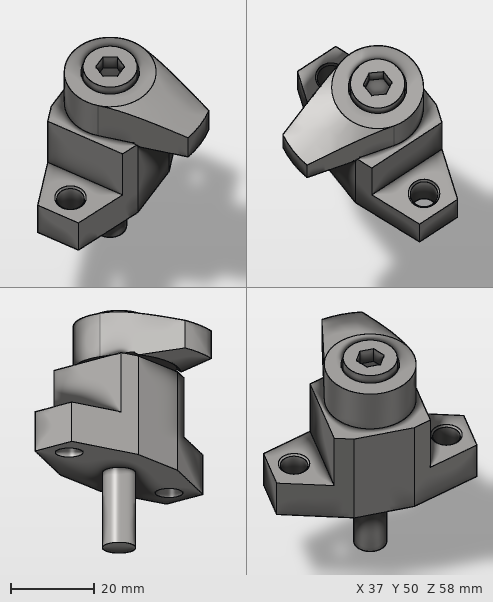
import cadquery as cq
import math


housing_length = 50.0
housing_width = 24.0
housing_height = 25.0
block_length = 24.0
flange_height = 10.0
side_flat_length = 15.0
taper_angle = 20
mount_hole_diameter = 6.6
mount_hole_mouth_diameter = 7.55
mount_hole_spacing = 38.05

collar_diameter = 18.0
collar_height = 1.0
hub_diameter = 22.05
hub_height = 11.0
arm_reach = 24.95
tip_half_width = 5.0
arm_top_drop = 5.0
relief_radius = 14.0
counterbore_diameter = 14.0
counterbore_depth = 6.0

screw_length = 58.0
shank_diameter = 8.0
head_diameter = 13.0
head_projection = 2.0
hex_across_flats = 6.0
hex_depth = 4.0

hub_bottom = housing_height + collar_height
hub_top = hub_bottom + hub_height
head_seat = hub_top - counterbore_depth
screw_top = hub_top + head_projection
hub_radius = hub_diameter / 2


def cylinder(diameter, bottom, top):
    return cq.Workplane("XY").workplane(offset=bottom).circle(diameter / 2).extrude(top - bottom)


def make_mount_hole(y):
    """Through hole with a 45 degree chamfer at its mouth."""
    hole_radius = mount_hole_diameter / 2
    mouth_radius = mount_hole_mouth_diameter / 2
    chamfer = mouth_radius - hole_radius
    profile = [
        (0, 0),
        (hole_radius, 0),
        (hole_radius, flange_height - chamfer),
        (mouth_radius, flange_height),
        (0, flange_height),
    ]
    hole = cq.Workplane("XZ").polyline(profile).close().revolve(360, (0, 0), (0, 1))
    return hole.translate((0, y, 0))


def make_housing():
    half_width = housing_width / 2
    half_length = housing_length / 2
    half_flat = side_flat_length / 2
    half_end = half_width - (half_length - half_flat) * math.tan(math.radians(taper_angle))
    outline = [
        (half_width, -half_flat),
        (half_width, half_flat),
        (half_end, half_length),
        (-half_end, half_length),
        (-half_width, half_flat),
        (-half_width, -half_flat),
        (-half_end, -half_length),
        (half_end, -half_length),
    ]
    footprint = cq.Workplane("XY").polyline(outline).close()
    housing = footprint.extrude(housing_height)

    end_length = half_length - block_length / 2
    for side in (-1, 1):
        step = cq.Workplane("XY").box(
            housing_width, end_length, housing_height - flange_height, centered=(True, True, False)
        )
        step_y = side * (block_length + end_length) / 2
        housing = housing.cut(step.translate((0, step_y, flange_height)))
        housing = housing.cut(make_mount_hole(side * mount_hole_spacing / 2))

    return housing.cut(cylinder(shank_diameter, 0, housing_height))


def make_arm():
    """Tapered arm tangent to the hub, with a conical top and a conical relief below."""
    tip_x = math.sqrt(arm_reach**2 - tip_half_width**2)
    tangent_angle = math.atan2(tip_half_width, tip_x) + math.acos(hub_radius / arm_reach)
    tangent_x = hub_radius * math.cos(tangent_angle)
    tangent_y = hub_radius * math.sin(tangent_angle)
    plan = (
        cq.Workplane("XY")
        .workplane(offset=housing_height)
        .moveTo(tangent_x, -tangent_y)
        .lineTo(tip_x, -tip_half_width)
        .threePointArc((arm_reach, 0), (tip_x, tip_half_width))
        .lineTo(tangent_x, tangent_y)
        .close()
        .extrude(hub_top - housing_height)
    )
    section = [
        (0, hub_bottom),
        (relief_radius, hub_bottom),
        (relief_radius + collar_height, housing_height),
        (arm_reach, housing_height),
        (arm_reach, hub_top - arm_top_drop),
        (hub_radius, hub_top),
        (0, hub_top),
    ]
    envelope = cq.Workplane("XZ").polyline(section).close().revolve(360, (0, 0), (0, 1))
    return plan.intersect(envelope)


def make_lever():
    hub = cylinder(hub_diameter, hub_bottom, hub_top)
    collar = cylinder(collar_diameter, housing_height, hub_bottom)
    lever = hub.union(make_arm()).union(collar)
    lever = lever.cut(cylinder(counterbore_diameter, head_seat, hub_top))
    return lever.cut(cylinder(shank_diameter, housing_height, head_seat))


def make_screw():
    shank = cylinder(shank_diameter, screw_top - screw_length, head_seat)
    screw = shank.union(cylinder(head_diameter, head_seat, screw_top))
    across_corners = hex_across_flats / math.cos(math.radians(30))
    socket = (
        cq.Workplane("XY")
        .workplane(offset=screw_top - hex_depth)
        .transformed(rotate=(0, 0, 30))
        .polygon(6, across_corners)
        .extrude(hex_depth)
    )
    return screw.cut(socket)


housing = make_housing()
lever = make_lever()
screw = make_screw()

result = cq.Compound.makeCompound([housing.val(), lever.val(), screw.val()])